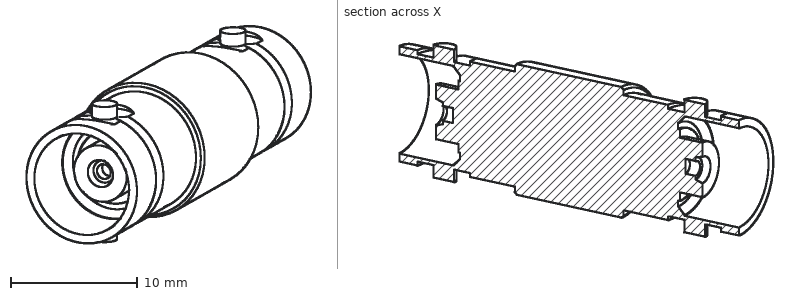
import cadquery as cq

length = 32.5
half_length = length / 2

barrel_radius = 9.7 / 2
collar_radius = 11.0 / 2
collar_half_length = 5.23
collar_chamfer = 0.23

stud_offset = 12.0
stud_radius = 2.0 / 2
stud_tip_height = 11.1 / 2
stud_root = 0.15
seat_radius = 2.5
seat_height = 4.52
groove_width = 1.35
groove_depth = 0.2

mouth_radius = 8.3 / 2
cone_radius = 8.2 / 2
floor_radius = 7.0 / 2
socket_depth = 5.2
cone_depth = cone_radius - floor_radius
cone_start_y = -half_length + socket_depth
floor_y = cone_start_y + cone_depth

step_radius = 6.0 / 2
step_height = 0.15
plug_radius = 4.6 / 2
plug_height = 2.3
plug_tip_y = floor_y - plug_height

recess_mouth_radius = 2.2 / 2
recess_bottom_radius = 1.82 / 2
recess_depth = 0.65
recess_bottom_y = plug_tip_y + recess_depth
pin_hole_radius = 1.2 / 2
pin_hole_depth = 0.98


def along_y(radius, start, end):
    """Cylinder on the Y axis between two Y positions."""
    plane = cq.Plane(origin=(0, start, 0), xDir=(1, 0, 0), normal=(0, 1, 0))
    return cq.Workplane(plane).circle(radius).extrude(end - start)


def vertical(radius, bottom, top):
    """Upright cylinder on the stud axis."""
    base = cq.Workplane("XY", origin=(0, -stud_offset, bottom))
    return base.circle(radius).extrude(top - bottom)


def turned(profile):
    """Close an outline of (radius, y) and revolve it about the Y axis."""
    return profile.close().revolve(360, (0, 0, 0), (0, 1, 0))


def mirrored(shape, plane):
    """The shape together with its mirror image."""
    return shape.union(shape.mirror(plane))


def make_body():
    barrel = along_y(barrel_radius, -half_length, half_length)
    collar = along_y(collar_radius, -collar_half_length, collar_half_length)
    return barrel.union(collar.faces("|Y").edges().chamfer(collar_chamfer))


def make_groove():
    """Ring with a circular-arc section, concave into the barrel."""
    near_y = -stud_offset - groove_width / 2
    far_y = -stud_offset + groove_width / 2
    bottom = (barrel_radius - groove_depth, -stud_offset)
    return turned(
        cq.Workplane("XY")
        .moveTo(barrel_radius, near_y)
        .threePointArc(bottom, (barrel_radius, far_y))
        .lineTo(collar_radius, far_y)
        .lineTo(collar_radius, near_y)
    )


def make_seats():
    """Cutters for the flats above and below one end of the barrel."""
    return mirrored(vertical(seat_radius, seat_height, collar_radius), "XY")


def make_studs():
    return mirrored(vertical(stud_radius, seat_height - stud_root, stud_tip_height), "XY")


def make_socket():
    return turned(
        cq.Workplane("XY")
        .moveTo(0, -half_length)
        .lineTo(mouth_radius, -half_length)
        .lineTo(mouth_radius, cone_start_y)
        .lineTo(cone_radius, cone_start_y)
        .lineTo(floor_radius, floor_y)
        .lineTo(0, floor_y)
    )


def make_contact_recess():
    taper = turned(
        cq.Workplane("XY")
        .moveTo(0, plug_tip_y)
        .lineTo(recess_mouth_radius, plug_tip_y)
        .lineTo(recess_bottom_radius, recess_bottom_y)
        .lineTo(0, recess_bottom_y)
    )
    return taper.union(along_y(pin_hole_radius, recess_bottom_y, recess_bottom_y + pin_hole_depth))


def make_insulator():
    step = along_y(step_radius, floor_y - step_height, floor_y)
    plug = along_y(plug_radius, plug_tip_y, floor_y)
    return step.union(plug).cut(make_contact_recess())


result = make_body()
for cutter in (make_groove(), make_seats(), make_socket()):
    result = result.cut(mirrored(cutter, "XZ"))
for addition in (make_studs(), make_insulator()):
    result = result.union(mirrored(addition, "XZ"))